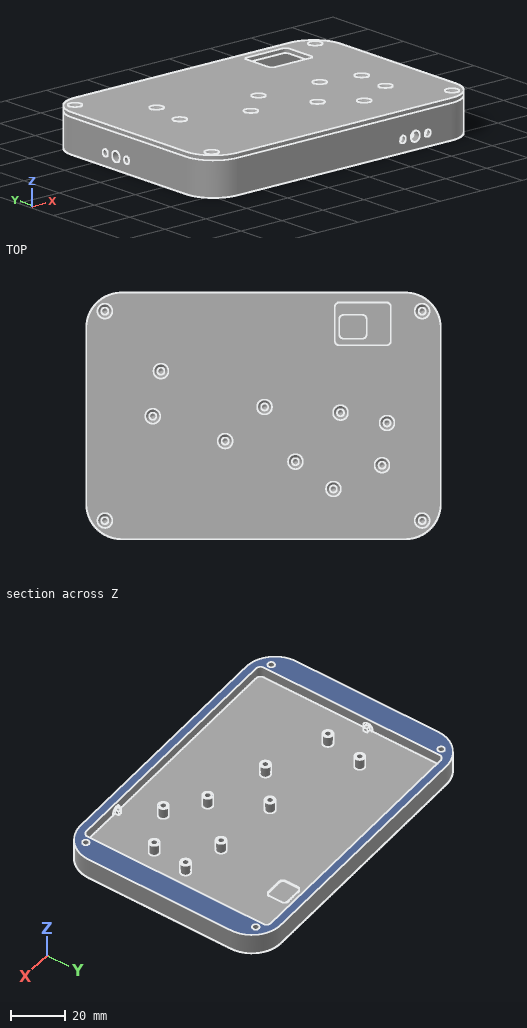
import cadquery as cq
import math

LENGTH = 131.4
WIDTH = 91.5
HEIGHT = 16.5
CORNER_RADIUS = 13.3
LID_THICKNESS = 2.0
HOUSING_HEIGHT = HEIGHT - LID_THICKNESS

END_WALL = 10.0
SIDE_WALL = 3.7
CAVITY_LENGTH = LENGTH - 2 * END_WALL
CAVITY_WIDTH = WIDTH - 2 * SIDE_WALL
CAVITY_SIZE = (CAVITY_LENGTH, CAVITY_WIDTH)
CAVITY_CORNER_RADIUS = 2.0

FLOOR_Z = 4.0
BOARD_THICKNESS = 0.5
BOARD_TOP_Z = FLOOR_Z + BOARD_THICKNESS
BOARD_CUTOUT_SIZE = (10.1, 8.8)
BOARD_CUTOUT_CENTER = (33.1, 33.0)
BOARD_CUTOUT_RADIUS = 1.6

WINDOW_SIZE = (20.8, 15.8)
WINDOW_CENTER = (36.8, 34.0)
WINDOW_RADIUS = 1.6

CORNER_SCREW_X = 58.7
CORNER_SCREW_Y = 38.8
CORNER_SCREWS = [(sx * CORNER_SCREW_X, sy * CORNER_SCREW_Y) for sx in (-1, 1) for sy in (-1, 1)]
INNER_SCREWS = [
    (-38.0, 16.5),
    (-41.0, -0.1),
    (-14.2, -9.3),
    (0.4, 3.3),
    (11.8, -17.0),
    (25.9, -27.1),
    (28.5, 1.2),
    (43.9, -18.3),
    (45.7, -2.6),
]
SCREWS = CORNER_SCREWS + INNER_SCREWS
SCREW_HOLE_RADIUS = 1.3
COUNTERSINK_RADIUS = 2.8
COUNTERSINK_DEPTH = COUNTERSINK_RADIUS - SCREW_HOLE_RADIUS
SCREW_HOLE_DEPTH = 7.9
POST_RADIUS = 2.1
DRILL_TIP_HALF_ANGLE = math.radians(59)

PORT_Z = 5.3
PORT_DIAMETER = 4.3
PORT_RADIUS = PORT_DIAMETER / 2
PORT_SCREW_RADIUS = 1.5
PORT_SCREW_SPACING = 6.0
PORT_SCREW_DEPTH = 2.4
FRONT_PORT_X = 34.8
SIDE_PORT_Y = 7.5

CONTACT_WIDTH = 1.7
CONTACT_LENGTH = 1.7
CONTACT_TOP_Z = 6.3


def rounded_block(size, radius, bottom_z, top_z, center=(0, 0)):
    """Upright rectangular block with rounded vertical corners."""
    return (
        cq.Workplane("XY", origin=(*center, bottom_z))
        .rect(*size)
        .extrude(top_z - bottom_z)
        .edges("|Z")
        .fillet(radius)
    )


def cylinders_at(points, radius, bottom_z, top_z):
    """Upright cylinders, one at each point."""
    return (
        cq.Workplane("XY", origin=(0, 0, bottom_z))
        .pushPoints(points)
        .circle(radius)
        .extrude(top_z - bottom_z)
    )


def drilled_hole(mouth, direction, radius, depth):
    """Cutter for a blind hole that ends in a drill-point cone."""
    start = cq.Vector(*mouth)
    axis = cq.Vector(*direction)
    tip_length = radius / math.tan(DRILL_TIP_HALF_ANGLE)
    bore = cq.Solid.makeCylinder(radius, depth, start, axis)
    tip = cq.Solid.makeCone(radius, 0, tip_length, start + axis * depth, axis)
    return bore.fuse(tip)


def cut_port(housing, mouth, inward, sideways, wall):
    """Cut one connector port into a wall, with the pair of screw holes beside it."""
    start = cq.Vector(*mouth)
    across = cq.Vector(*sideways)
    housing = housing.cut(cq.Solid.makeCylinder(PORT_RADIUS, wall, start, cq.Vector(*inward)))
    for side in (-1, 1):
        screw_mouth = start + across * (side * PORT_SCREW_SPACING)
        housing = housing.cut(
            drilled_hole(screw_mouth.toTuple(), inward, PORT_SCREW_RADIUS, PORT_SCREW_DEPTH)
        )
    return housing


def make_housing():
    housing = rounded_block((LENGTH, WIDTH), CORNER_RADIUS, 0, HOUSING_HEIGHT)
    cavity = rounded_block(CAVITY_SIZE, CAVITY_CORNER_RADIUS, FLOOR_Z, HOUSING_HEIGHT)
    posts = cylinders_at(INNER_SCREWS, POST_RADIUS, FLOOR_Z, HOUSING_HEIGHT)
    housing = housing.cut(cavity.cut(posts))
    for x, y in SCREWS:
        housing = housing.cut(
            drilled_hole((x, y, HOUSING_HEIGHT), (0, 0, -1), SCREW_HOLE_RADIUS, SCREW_HOLE_DEPTH)
        )
    housing = cut_port(housing, (FRONT_PORT_X, -WIDTH / 2, PORT_Z), (0, 1, 0), (1, 0, 0), SIDE_WALL)
    return cut_port(housing, (-LENGTH / 2, SIDE_PORT_Y, PORT_Z), (1, 0, 0), (0, 1, 0), END_WALL)


def make_board():
    board = rounded_block(CAVITY_SIZE, CAVITY_CORNER_RADIUS, FLOOR_Z, BOARD_TOP_Z)
    board = board.cut(cylinders_at(INNER_SCREWS, POST_RADIUS, FLOOR_Z, BOARD_TOP_Z))
    cutout = rounded_block(
        BOARD_CUTOUT_SIZE, BOARD_CUTOUT_RADIUS, FLOOR_Z, BOARD_TOP_Z, BOARD_CUTOUT_CENTER
    )
    board = board.cut(cutout)
    contact_height = CONTACT_TOP_Z - BOARD_TOP_Z
    front_contact_y = -CAVITY_WIDTH / 2 + CONTACT_LENGTH / 2
    side_contact_x = -CAVITY_LENGTH / 2 + CONTACT_LENGTH / 2
    contacts = [
        ((FRONT_PORT_X, front_contact_y), (CONTACT_WIDTH, CONTACT_LENGTH)),
        ((side_contact_x, SIDE_PORT_Y), (CONTACT_LENGTH, CONTACT_WIDTH)),
    ]
    for center, size in contacts:
        contact = cq.Workplane("XY", origin=(*center, BOARD_TOP_Z)).rect(*size).extrude(contact_height)
        board = board.union(contact)
    return board


def make_lid():
    lid = rounded_block((LENGTH, WIDTH), CORNER_RADIUS, HOUSING_HEIGHT, HEIGHT)
    window = rounded_block(WINDOW_SIZE, WINDOW_RADIUS, HOUSING_HEIGHT, HEIGHT, WINDOW_CENTER)
    lid = lid.cut(window)
    lid = lid.cut(cylinders_at(SCREWS, SCREW_HOLE_RADIUS, HOUSING_HEIGHT, HEIGHT))
    for x, y in SCREWS:
        countersink = cq.Solid.makeCone(
            COUNTERSINK_RADIUS,
            SCREW_HOLE_RADIUS,
            COUNTERSINK_DEPTH,
            cq.Vector(x, y, HEIGHT),
            cq.Vector(0, 0, -1),
        )
        lid = lid.cut(countersink)
    return lid


housing = make_housing()
board = make_board()
lid = make_lid()
result = cq.Compound.makeCompound([housing.val(), board.val(), lid.val()])